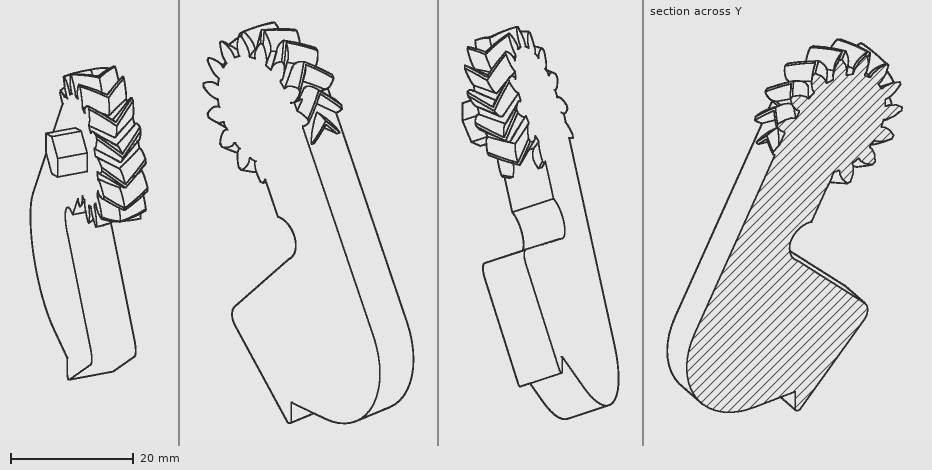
import cadquery as cq
import math

THICKNESS = 7.5
MID_PLANE = THICKNESS / 2

TEETH = 15
TIP_RADIUS = 12.7
MODULE = 2 * TIP_RADIUS / (TEETH + 2)
PITCH_RADIUS = MODULE * TEETH / 2
ROOT_RADIUS = PITCH_RADIUS - 1.25 * MODULE
HELIX_ANGLE = math.radians(42)
NORMAL_PRESSURE_ANGLE = math.radians(20)
PRESSURE_ANGLE = math.atan(math.tan(NORMAL_PRESSURE_ANGLE) / math.cos(HELIX_ANGLE))
BASE_RADIUS = PITCH_RADIUS * math.cos(PRESSURE_ANGLE)
PITCH_ANGLE = 2 * math.pi / TEETH
TWIST = MID_PLANE * math.tan(HELIX_ANGLE) / PITCH_RADIUS
FLANK_STEPS = 4

HEX_FLATS = 6.8
HEX_LENGTH = 5.0
HEX_OFFSET = 0.2

ARM_ANGLE = math.radians(62)
ARM_RIGHT = 3.7

HEEL_X, HEEL_Z = -16.55, -37.1
HEEL_RADIUS = 13.15
HOOK_X = -8.4
NOSE_X, NOSE_Z = 6.85, -39.4
NOSE_SLOPE = math.radians(46)
NOSE_RADIUS = 2.5
HOOK_RADIUS = 0.6
NOTCH_X, NOTCH_Z = -5.75, -21.2
NOTCH_RADIUS = 3.7


def polar(radius, angle):
    return (radius * math.cos(angle), radius * math.sin(angle))


def half_tooth_angle(radius):
    """Half the angle that a tooth spans at a radius on its involute flank."""

    def involute(pressure):
        return math.tan(pressure) - pressure

    pressure = math.acos(min(1.0, BASE_RADIUS / radius))
    return PITCH_ANGLE / 4 + involute(PRESSURE_ANGLE) - involute(pressure)


def gear_outline(plane, turn):
    """Closed gear outline: radial roots, involute flanks and round tips."""
    step = (TIP_RADIUS - BASE_RADIUS) / FLANK_STEPS
    radii = [BASE_RADIUS + i * step for i in range(FLANK_STEPS + 1)]
    root_half = half_tooth_angle(BASE_RADIUS)
    outline = plane.moveTo(*polar(ROOT_RADIUS, turn - root_half))
    for tooth in range(TEETH):
        middle = turn + tooth * PITCH_ANGLE
        rising = [polar(r, middle - half_tooth_angle(r)) for r in radii]
        falling = [polar(r, middle + half_tooth_angle(r)) for r in reversed(radii)]
        gap_middle = middle + PITCH_ANGLE / 2
        next_root = middle + PITCH_ANGLE - root_half
        outline = (
            outline.lineTo(*rising[0])
            .spline(rising[1:], includeCurrent=True)
            .threePointArc(polar(TIP_RADIUS, middle), falling[0])
            .spline(falling[1:], includeCurrent=True)
            .lineTo(*polar(ROOT_RADIUS, middle + root_half))
            .threePointArc(polar(ROOT_RADIUS, gap_middle), polar(ROOT_RADIUS, next_root))
        )
    return outline.close()


def herringbone_gear():
    plane = cq.Workplane("XZ", origin=(0, MID_PLANE, 0))
    front = gear_outline(plane, -TWIST).twistExtrude(MID_PLANE, math.degrees(TWIST))
    return front.union(front.mirror("XZ", (0, MID_PLANE, 0)))


def round_corner(plate, corner, radius):
    x, z = corner
    edge = cq.selectors.NearestToPointSelector((x, MID_PLANE, z))
    return plate.edges(edge).fillet(radius)


def lever_plate():
    """Plate with the arm, the round heel, the nose and the hook."""
    along_x, along_z = math.cos(ARM_ANGLE), math.sin(ARM_ANGLE)
    right_x, right_z = along_z, -along_x
    arm_left = HEEL_X * right_x + HEEL_Z * right_z - HEEL_RADIUS
    heel_bottom = HEEL_Z - HEEL_RADIUS

    nose = (NOSE_X, NOSE_Z)
    slope = math.tan(NOSE_SLOPE)
    hook = (HOOK_X, NOSE_Z - slope * (NOSE_X - HOOK_X))

    height_above_nose_edge = ARM_RIGHT * right_z - NOSE_Z + slope * (ARM_RIGHT * right_x - NOSE_X)
    arm_length = height_above_nose_edge / (along_z + slope * along_x)
    throat = (ARM_RIGHT * right_x - arm_length * along_x, ARM_RIGHT * right_z - arm_length * along_z)

    plate = (
        cq.Workplane("XZ")
        .moveTo(arm_left * right_x, arm_left * right_z)
        .lineTo(HEEL_X - HEEL_RADIUS * right_x, HEEL_Z - HEEL_RADIUS * right_z)
        .threePointArc((HEEL_X - HEEL_RADIUS, HEEL_Z), (HEEL_X, heel_bottom))
        .lineTo(HOOK_X, heel_bottom)
        .lineTo(*hook)
        .lineTo(*nose)
        .lineTo(*throat)
        .lineTo(ARM_RIGHT * right_x, ARM_RIGHT * right_z)
        .close()
        .extrude(-THICKNESS)
    )
    plate = round_corner(plate, nose, NOSE_RADIUS)
    plate = round_corner(plate, hook, HOOK_RADIUS)
    notch = cq.Workplane("XZ").center(NOTCH_X, NOTCH_Z).circle(NOTCH_RADIUS).extrude(-THICKNESS)
    return plate.cut(notch)


def hex_stub():
    return (
        cq.Workplane("XZ")
        .center(-HEX_OFFSET, 0)
        .transformed(rotate=(0, 0, 30))
        .polygon(6, HEX_FLATS / math.cos(math.pi / 6))
        .extrude(HEX_LENGTH)
    )


result = lever_plate().union(herringbone_gear()).union(hex_stub())